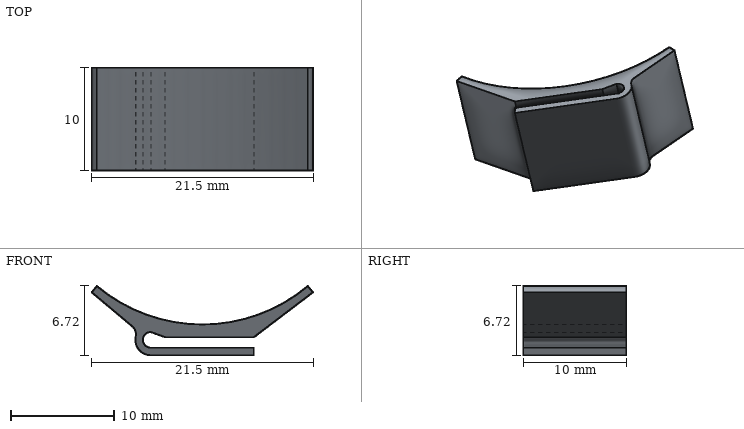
import cadquery as cq
import math

depth = 10.0
height = 6.72
width = 21.47
saddle_radius = 15.9
tip_thickness = 0.8
arm_thickness = 0.75
slot_gap = 1.0
half_base = 5.0
bend_inner_radius = 0.75
slot_slope_angle = 20.0
neck_radius = 1.0


def polar(center, radius, degrees):
    """Point on a circle, angle counted from +X towards +Z."""
    angle = math.radians(degrees)
    return (center[0] + radius * math.cos(angle), center[1] + radius * math.sin(angle))


tip_radius = saddle_radius + tip_thickness
saddle_half_angle = math.degrees(math.asin(width / 2 / tip_radius))
saddle_center = (0.0, height + saddle_radius * math.cos(math.radians(saddle_half_angle)))
left_direction = 270.0 - saddle_half_angle
right_direction = 270.0 + saddle_half_angle
seat_left = polar(saddle_center, saddle_radius, left_direction)
seat_bottom = polar(saddle_center, saddle_radius, 270.0)
seat_left_middle = polar(saddle_center, saddle_radius, 270.0 - saddle_half_angle / 2)
seat_right_middle = polar(saddle_center, saddle_radius, 270.0 + saddle_half_angle / 2)
seat_right = polar(saddle_center, saddle_radius, right_direction)
tip_left = polar(saddle_center, tip_radius, left_direction)
tip_right = polar(saddle_center, tip_radius, right_direction)

bend_outer_radius = bend_inner_radius + arm_thickness
bend_center = (-half_base, bend_outer_radius)

slot_roof_z = arm_thickness + slot_gap
bend_crown = polar(bend_center, bend_inner_radius, 90.0)
slope_run = (bend_crown[1] - slot_roof_z) / math.tan(math.radians(slot_slope_angle))
slot_corner_x = bend_crown[0] + slope_run

flank_normal = math.radians(left_direction)
bend_offset_x = bend_center[0] - saddle_center[0]
bend_offset_z = bend_center[1] - saddle_center[1]
flank_offset = tip_radius - bend_offset_x * math.cos(flank_normal) - bend_offset_z * math.sin(flank_normal)
neck_reach = bend_outer_radius + neck_radius
neck_direction = left_direction - math.degrees(math.acos((flank_offset + neck_radius) / neck_reach))
neck_center = polar(bend_center, neck_reach, neck_direction)
neck_at_bend = neck_direction + 180.0
neck_at_flank = left_direction + 180.0
neck_middle_direction = (neck_at_bend + neck_at_flank) / 2
bend_middle_direction = (270.0 + neck_direction) / 2


def build_profile():
    """Closed XZ outline of the clip."""
    return (
        cq.Workplane("XZ", origin=(0, depth / 2, 0))
        .moveTo(*seat_left)
        .threePointArc(seat_left_middle, seat_bottom)
        .threePointArc(seat_right_middle, seat_right)
        .lineTo(*tip_right)
        .lineTo(half_base, slot_roof_z)
        .lineTo(slot_corner_x, slot_roof_z)
        .lineTo(*bend_crown)
        .threePointArc(
            polar(bend_center, bend_inner_radius, 180.0),
            polar(bend_center, bend_inner_radius, 270.0),
        )
        .lineTo(half_base, arm_thickness)
        .lineTo(half_base, 0)
        .lineTo(bend_center[0], 0)
        .threePointArc(
            polar(bend_center, bend_outer_radius, bend_middle_direction),
            polar(bend_center, bend_outer_radius, neck_direction),
        )
        .threePointArc(
            polar(neck_center, neck_radius, neck_middle_direction),
            polar(neck_center, neck_radius, neck_at_flank),
        )
        .lineTo(*tip_left)
        .close()
    )


result = build_profile().extrude(depth, clean=False)